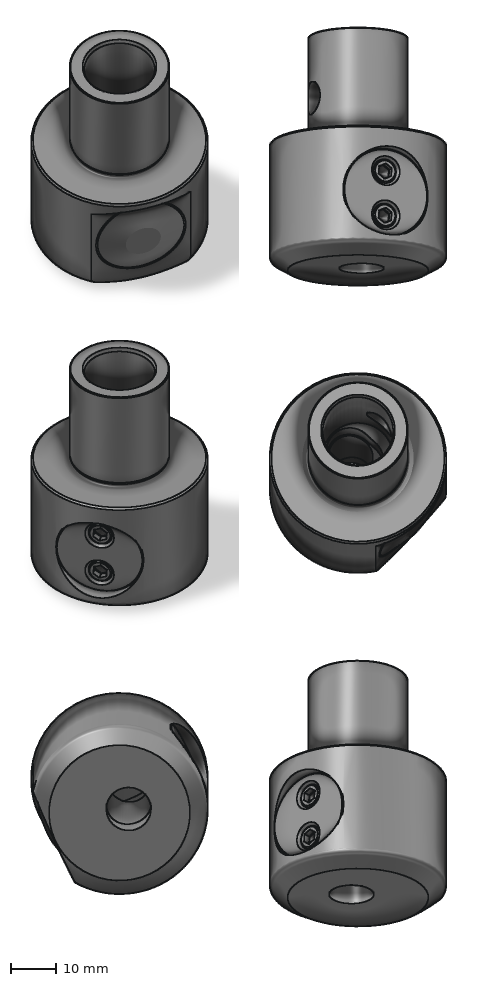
import cadquery as cq
import math

total_height = 52.5
body_diameter = 39.0
body_radius = body_diameter / 2
body_height = 28.5
body_top_chamfer = 0.4
base_radius = 15.55
base_taper_angle = 30.0
base_edge_fillet = 1.6

shank_radius = 11.0
shank_top_chamfer = 0.2

relief_top = 29.5
neck_radius = 10.8
relief_fillet = 0.6
relief_depth = 0.15
relief_outer_radius = 12.3

bore_radius = 7.75
bore_mouth_chamfer = 0.395
bore_mouth_depth = 0.8
bore_bottom = 29.4
drill_point_angle = 118.0

passage_width = 10.55
passage_end = 0.395
drain_radius = 4.95
drain_x = -2.2

side_hole_diameter = 7.35
side_hole_height = 38.0

seat_x = 15.75
seat_top = 24.4
overhang_angle = 30.0

slide_height = 14.0
slide_diameter = 20.0
slide_radius = slide_diameter / 2
slide_start = -16.9
slide_chamfer = 0.25
head_radius = seat_top - slide_height
nose_radius = 4.05
head_length = 1.85

screw_spacing = slide_diameter / 2
screw_heights = [slide_height + side * screw_spacing / 2 for side in (-1, 1)]
screw_radius = 2.7
screw_length = 6.05
screw_recess = 0.35
screw_hole_chamfer = 0.65
screw_chamfer = 0.3
hex_width = 3.0
hex_turn = 6.0
socket_depth = 1.85


def along_x(x, height):
    """Workplane facing +X, centred on the XZ plane at the given height."""
    return cq.Workplane("YZ", origin=(x, 0, height))


def cone_along_x(x, height, start_radius, end_radius, length):
    """Cone frustum (or full cone) growing in +X."""
    origin = cq.Vector(x, 0, height)
    return cq.Workplane(cq.Solid.makeCone(start_radius, end_radius, length, origin, cq.Vector(1, 0, 0)))


def drain_hole():
    return cq.Workplane("XY").center(drain_x, 0).circle(drain_radius).extrude(body_height)


def housing_blank():
    """Solid body and shank, turned from one half profile."""
    taper = math.radians(base_taper_angle)
    taper_height = (body_radius - base_radius) * math.tan(taper)
    turn = math.pi / 2 - taper
    tangent_length = base_edge_fillet * math.tan(turn / 2)
    fillet_centre = (body_radius - base_edge_fillet, taper_height + tangent_length)
    fillet_low = (
        body_radius - tangent_length * math.cos(taper),
        taper_height - tangent_length * math.sin(taper),
    )
    fillet_middle = (
        fillet_centre[0] + base_edge_fillet * math.cos(turn / 2),
        fillet_centre[1] - base_edge_fillet * math.sin(turn / 2),
    )
    groove_floor = body_height - relief_depth
    groove_middle = (
        neck_radius + relief_fillet * (1 - math.sqrt(0.5)),
        groove_floor + relief_fillet * (1 - math.sqrt(0.5)),
    )
    return (
        cq.Workplane("XZ")
        .lineTo(base_radius, 0)
        .lineTo(*fillet_low)
        .threePointArc(fillet_middle, (body_radius, fillet_centre[1]))
        .lineTo(body_radius, body_height - body_top_chamfer)
        .lineTo(body_radius - body_top_chamfer, body_height)
        .lineTo(relief_outer_radius, body_height)
        .lineTo(neck_radius + relief_fillet, groove_floor)
        .threePointArc(groove_middle, (neck_radius, groove_floor + relief_fillet))
        .lineTo(shank_radius, relief_top)
        .lineTo(shank_radius, total_height - shank_top_chamfer)
        .lineTo(shank_radius - shank_top_chamfer, total_height)
        .lineTo(0, total_height)
        .close()
        .revolve(360, (0, 0), (0, 1))
    )


def shank_bore():
    """Bore with a widened mouth and a conical bottom."""
    point_depth = bore_radius / math.tan(math.radians(drill_point_angle / 2))
    return (
        cq.Workplane("XZ")
        .moveTo(0, bore_bottom - point_depth)
        .lineTo(bore_radius, bore_bottom)
        .lineTo(bore_radius, total_height - bore_mouth_depth)
        .lineTo(bore_radius + bore_mouth_chamfer, total_height)
        .lineTo(0, total_height)
        .close()
        .revolve(360, (0, 0), (0, 1))
    )


def passage():
    """Elongated opening from the bore bottom down to the slide."""
    return (
        cq.Workplane("XY", origin=(0, 0, slide_height))
        .center((drain_x + passage_end) / 2, 0)
        .slot2D(passage_end - drain_x + passage_width, passage_width)
        .extrude(bore_bottom - slide_height)
    )


def side_hole():
    """Hole through the +Y wall of the shank into the bore."""
    return (
        cq.Workplane("XZ", origin=(0, 0, side_hole_height))
        .circle(side_hole_diameter / 2)
        .extrude(-shank_radius)
    )


def seat_cutter():
    """Everything removed beyond the +X flat, below the sloping overhang."""
    overhang_rise = (body_radius - seat_x) * math.tan(math.radians(overhang_angle))
    return (
        cq.Workplane("XZ")
        .moveTo(seat_x, 0)
        .lineTo(body_radius, 0)
        .lineTo(body_radius, seat_top + overhang_rise)
        .lineTo(seat_x, seat_top)
        .close()
        .extrude(body_radius, both=True)
    )


def slide_bore():
    """Hole for the slide, right through the body along X."""
    return along_x(-body_radius, slide_height).circle(slide_radius).extrude(body_diameter)


def make_housing():
    return (
        housing_blank()
        .cut(shank_bore())
        .cut(passage())
        .cut(drain_hole())
        .cut(side_hole())
        .cut(seat_cutter())
        .cut(slide_bore())
    )


def screw_hole(height):
    """Blind hole with a chamfered mouth that ends where the screw ends."""
    hole = along_x(slide_start, height).circle(screw_radius).extrude(screw_recess + screw_length)
    mouth_radius = screw_radius + screw_hole_chamfer
    return hole.union(cone_along_x(slide_start, height, mouth_radius, screw_radius, screw_hole_chamfer))


def make_slide():
    bar = (
        along_x(slide_start, slide_height)
        .circle(slide_radius)
        .extrude(seat_x - slide_start)
        .faces("<X").edges().chamfer(slide_chamfer)
    )
    slide = bar.union(cone_along_x(seat_x, slide_height, head_radius, nose_radius, head_length))
    slide = slide.cut(drain_hole())
    for height in screw_heights:
        slide = slide.cut(screw_hole(height))
    return slide


def make_screw(height):
    """Set screw with a hexagon socket that ends in a cone."""
    outer_end = slide_start + screw_recess
    hex_corner_radius = hex_width / math.sqrt(3)
    body = (
        along_x(outer_end, height)
        .circle(screw_radius)
        .extrude(screw_length)
        .faces("<X").edges().chamfer(screw_chamfer)
    )
    socket = (
        along_x(outer_end, height)
        .transformed(rotate=(0, 0, 90 + hex_turn))
        .polygon(6, 2 * hex_corner_radius)
        .extrude(socket_depth)
    )
    cone_length = hex_corner_radius / math.tan(math.radians(drill_point_angle / 2))
    socket_cone = cone_along_x(outer_end + socket_depth, height, hex_corner_radius, 0, cone_length)
    return body.cut(socket).cut(socket_cone)


housing = make_housing()
slide = make_slide()
screws = [make_screw(height) for height in screw_heights]

result = cq.Compound.makeCompound([housing.val(), slide.val(), *[screw.val() for screw in screws]])